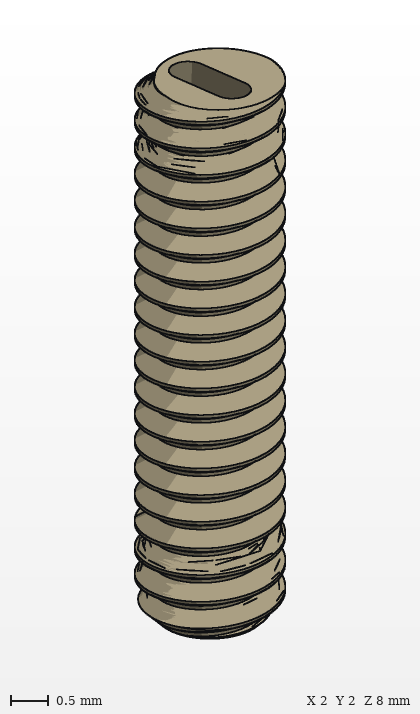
import cadquery as cq
import math

length = 8.0
major_diameter = 2.0
root_diameter = 1.49
pitch = 0.4
crest_height_at_x = 0.34
thread_angle = 60.0

tip_diameter = 1.44

slot_length = 1.3
slot_width = 0.51
slot_depth = 1.0
slot_flat_length = 0.61
slot_floor_angle = 10.0

groove_overshoot = 0.02
groove_turns = round(length / pitch) + 2
groove_start = crest_height_at_x - 1.5 * pitch
bar_margin = 2 * pitch

major_radius = major_diameter / 2
root_radius = root_diameter / 2
crest_width = pitch / 8
flank_slope = math.tan(math.radians(thread_angle / 2))


def make_thread_groove():
    """Right-handed helical V groove, closed by a flat face at each end."""
    half_root = (pitch - crest_width) / 2 - (major_radius - root_radius) * flank_slope
    outer_radius = major_radius + groove_overshoot
    half_mouth = half_root + (outer_radius - root_radius) * flank_slope
    corners = [
        (root_radius, -half_root),
        (outer_radius, -half_mouth),
        (outer_radius, half_mouth),
        (root_radius, half_root),
    ]
    groove_length = groove_turns * pitch

    edges = []
    for radius, height in corners:
        helix = cq.Wire.makeHelix(pitch, groove_length, radius)
        edges.append(helix.translate(cq.Vector(0, 0, groove_start + height)))

    faces = []
    for index, edge in enumerate(edges):
        next_edge = edges[(index + 1) % len(edges)]
        faces.extend(cq.Face.makeRuledSurface(edge, next_edge).Faces())
    for end_height in (groove_start, groove_start + groove_length):
        points = [cq.Vector(radius, 0, end_height + height) for radius, height in corners]
        faces.append(cq.Face.makeFromWires(cq.Wire.makePolygon(points, close=True)))

    return cq.Workplane(obj=cq.Solid.makeSolid(cq.Shell.makeShell(faces)).fix())


def make_threaded_bar():
    """Threaded bar running past both ends of the stud."""
    bar = (
        cq.Workplane("XY")
        .workplane(offset=groove_start - bar_margin)
        .circle(major_radius)
        .extrude(groove_turns * pitch + 2 * bar_margin)
    )
    return bar.cut(make_thread_groove())


def make_envelope():
    """Cylinder of the stud's length with a 45 degree chamfer at its lower end."""
    chamfer = (major_diameter - tip_diameter) / 2
    return cq.Workplane("XY").circle(major_radius).extrude(length).faces("<Z").chamfer(chamfer)


def make_slot():
    """Round-ended driver slot whose floor rises gently towards both ends."""
    half_length = slot_length / 2
    half_flat = slot_flat_length / 2
    floor = length - slot_depth
    end_floor = floor + (half_length - half_flat) * math.tan(math.radians(slot_floor_angle))
    outline = (
        cq.Workplane("XY")
        .workplane(offset=floor)
        .slot2D(slot_length, slot_width)
        .extrude(slot_depth)
    )
    side_profile = (
        cq.Workplane("XZ")
        .moveTo(-half_length, length)
        .lineTo(-half_length, end_floor)
        .lineTo(-half_flat, floor)
        .lineTo(half_flat, floor)
        .lineTo(half_length, end_floor)
        .lineTo(half_length, length)
        .close()
        .extrude(slot_width, both=True)
    )
    return outline.intersect(side_profile)


result = make_threaded_bar().intersect(make_envelope()).cut(make_slot())